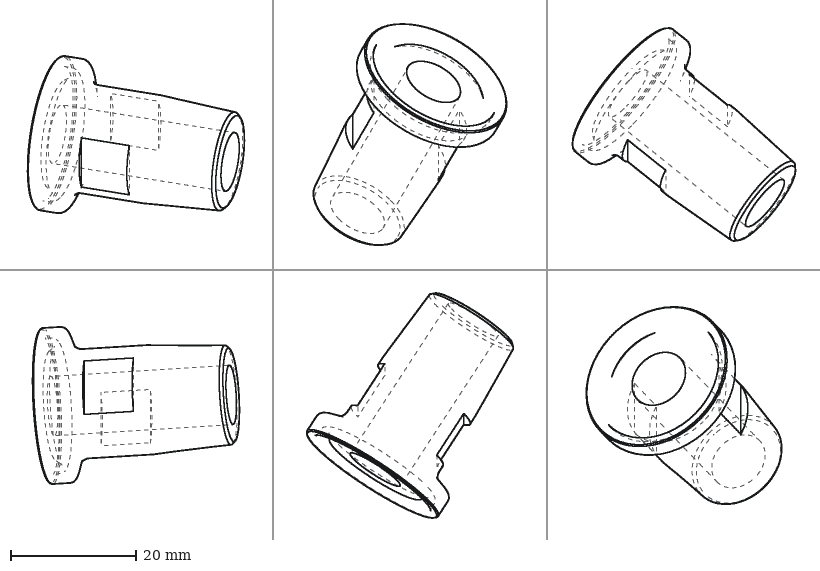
import cadquery as cq
import math

length = 30
flange_diameter = 25.0
flange_radius = flange_diameter / 2
barrel_radius = 8.75
bore_radius = 4.75

rim_chamfer = 0.2
rim_round = 0.8
neck_round = 2.0
neck_end = 6.42
back_angle = math.radians(20)

groove_radius = 10.85
groove_edge_round = 0.55
groove_floor_round = 0.8
boss_recess = 1.0
boss_face_radius = 8.43
boss_edge_round = 0.5
boss_wall_angle = math.radians(35)

taper_start = 16.95
tail_end_radius = 7.98
tail_chamfer = 0.5

flat_start = 7.5
flat_length = 8.0
flat_distance = 7.5


def arc_point(center, radius, angle):
    """Point at the given angle (radians) on a circle in the (axial, radial) profile plane."""
    return (center[0] + radius * math.cos(angle), center[1] + radius * math.sin(angle))


def make_body():
    neck_center = (neck_end, barrel_radius + neck_round)
    neck_tangent = arc_point(neck_center, neck_round, math.pi + back_angle)
    neck_middle = arc_point(neck_center, neck_round, 5 * math.pi / 4 + back_angle / 2)

    rim_center_radius = flange_radius - rim_round
    slope_rise = rim_center_radius + rim_round * math.sin(back_angle) - neck_tangent[1]
    rim_tangent_x = neck_tangent[0] - slope_rise * math.tan(back_angle)
    rim_center = (rim_tangent_x - rim_round * math.cos(back_angle), rim_center_radius)
    rim_tangent = arc_point(rim_center, rim_round, back_angle)
    rim_middle = arc_point(rim_center, rim_round, math.pi / 4 + back_angle / 2)

    profile = (
        cq.Workplane("XZ")
        .moveTo(0, bore_radius)
        .lineTo(0, flange_radius - rim_chamfer)
        .lineTo(rim_chamfer, flange_radius)
        .lineTo(rim_center[0], flange_radius)
        .threePointArc(rim_middle, rim_tangent)
        .lineTo(*neck_tangent)
        .threePointArc(neck_middle, (neck_end, barrel_radius))
        .lineTo(taper_start, barrel_radius)
        .lineTo(length - tail_chamfer, tail_end_radius)
        .lineTo(length, tail_end_radius - tail_chamfer)
        .lineTo(length, bore_radius)
        .close()
    )
    return profile.revolve(360, (0, 0, 0), (1, 0, 0))


def make_face_recess():
    boss_center = (boss_recess + boss_edge_round, boss_face_radius)
    boss_tangent = arc_point(boss_center, boss_edge_round, math.pi / 2 + boss_wall_angle)
    boss_middle = arc_point(boss_center, boss_edge_round, 3 * math.pi / 4 + boss_wall_angle / 2)

    floor_radius = groove_radius - groove_floor_round
    wall_end_radius = floor_radius - groove_floor_round * math.cos(boss_wall_angle)
    wall_end_x = boss_tangent[0] + (wall_end_radius - boss_tangent[1]) / math.tan(boss_wall_angle)
    floor_x = wall_end_x - groove_floor_round * math.sin(boss_wall_angle)
    floor_center = (floor_x, floor_radius)
    floor_middle = arc_point(floor_center, groove_floor_round, boss_wall_angle / 2)

    edge_center = (groove_edge_round, groove_radius + groove_edge_round)
    edge_middle = arc_point(edge_center, groove_edge_round, 5 * math.pi / 4)

    profile = (
        cq.Workplane("XZ")
        .lineTo(boss_recess, 0)
        .lineTo(boss_recess, boss_face_radius)
        .threePointArc(boss_middle, boss_tangent)
        .lineTo(wall_end_x, wall_end_radius)
        .threePointArc(floor_middle, (floor_x, groove_radius))
        .lineTo(groove_edge_round, groove_radius)
        .threePointArc(edge_middle, (0, groove_radius + groove_edge_round))
        .close()
    )
    return profile.revolve(360, (0, 0, 0), (1, 0, 0))


def make_flat_cut(side):
    depth = barrel_radius - flat_distance
    return (
        cq.Workplane("XY")
        .box(flat_length, depth, 2 * barrel_radius, centered=(False, True, True))
        .translate((flat_start, side * (flat_distance + depth / 2), 0))
    )


result = make_body().cut(make_face_recess())
for side in (-1, 1):
    result = result.cut(make_flat_cut(side))